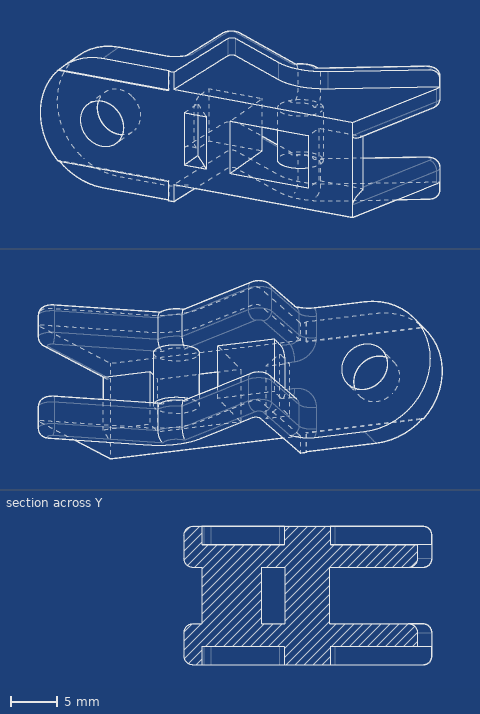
import cadquery as cq
import math

LENGTH = 41.45
WIDTH = 15.0
HALF_WIDTH = WIDTH / 2
HEIGHT = 15.0

BASE_THICKNESS = 4.02
END_THICKNESS = 2.5
BASE_END_X = 37.95
HOLE_DIAMETER = 5.23

CHANNEL_WIDTH = 6.05
ARM_THICKNESS = (WIDTH - CHANNEL_WIDTH) / 2
ARM_FOOT_X = 14.22
ARM_FRONT_LEAN = math.tan(math.radians(3))
TIP_RADIUS = 1.5
EDGE_RADIUS = 1.0
FOOT_RADIUS = 1.5

TIP_X = LENGTH - TIP_RADIUS
TIP_Y = HEIGHT - TIP_RADIUS

SADDLE_ANGLE = math.radians(30)
SADDLE_RISE = math.tan(SADDLE_ANGLE)
SADDLE_X = 28.0
SADDLE_Y = TIP_Y + TIP_RADIUS / math.cos(SADDLE_ANGLE) - SADDLE_RISE * (TIP_X - SADDLE_X)

BAR_RADIUS = 2.5
BAR_Y = 7.05

RIM = 2.0
RECESS_DEPTH = 2.0
RECESS_CORNER_RADIUS = 0.5
RECESS_SADDLE_RADIUS = 6.0

WINDOW_START_X = 23.05
WINDOW_END_X = 32.55
POCKET_START_X = 17.5
POCKET_END_X = 20.2
POCKET_ANGLE = math.radians(50)

BLOCK_START_X = 16.6
BLOCK_TOP_Y = 7.65

FIELD_WIDTH = 2.25
FIELD_END_X = 15.55
FIELD_DEPTH = 0.2

PICK_MARGIN = 0.05

CHANNEL = (-CHANNEL_WIDTH / 2, CHANNEL_WIDTH / 2)
BETWEEN_RECESSES = (RECESS_DEPTH - HALF_WIDTH, HALF_WIDTH - RECESS_DEPTH)


def box(x_range, y_range, z_range):
    """Box from its lower and upper limits along each axis."""
    sizes = [high - low for low, high in (x_range, y_range, z_range)]
    corner = (x_range[0], y_range[0], z_range[0])
    return cq.Workplane("XY").box(*sizes, centered=False).translate(corner)


def prism(outline, z_range):
    """Closed polygon in the XY plane, extruded between two Z limits."""
    bottom, top = z_range
    return cq.Workplane("XY").workplane(offset=bottom).polyline(outline).close().extrude(top - bottom)


def bar(z_range):
    """Round bar along Z at the bottom of the V."""
    bottom, top = z_range
    base = cq.Workplane("XY").workplane(offset=bottom)
    return base.center(SADDLE_X, BAR_Y).circle(BAR_RADIUS).extrude(top - bottom)


def end_cylinder(diameter):
    """Cylinder through the base plate, centred on its round end."""
    return cq.Workplane("XZ").center(HALF_WIDTH, 0).circle(diameter / 2).extrude(-BASE_THICKNESS)


def mirrored_pair(shape):
    """The shape together with its mirror image across the middle plane."""
    return shape.union(shape.mirror("XY"))


def fillet_corner(shape, corner, radius):
    """Round the one Z-parallel edge that stands at the given XY corner."""
    x, y = corner
    around = cq.selectors.BoxSelector(
        (x - PICK_MARGIN, y - PICK_MARGIN, -WIDTH), (x + PICK_MARGIN, y + PICK_MARGIN, WIDTH)
    )
    return shape.edges("|Z").edges(around).fillet(radius)


def saddle_corners(offset):
    """Foot of the leaning front line, left corner and bottom of the V, all moved inward by offset."""
    foot_x = ARM_FOOT_X + offset * math.hypot(1, ARM_FRONT_LEAN)
    bottom_y = SADDLE_Y - offset / math.cos(SADDLE_ANGLE)
    left_y = (bottom_y + SADDLE_RISE * (SADDLE_X - foot_x)) / (1 + SADDLE_RISE * ARM_FRONT_LEAN)
    left = (foot_x + ARM_FRONT_LEAN * left_y, left_y)
    return (foot_x, 0), left, (SADDLE_X, bottom_y)


def right_corner():
    """Sharp corner where the V meets the slanted end, which is tangent to the right tip."""
    dx = TIP_X - BASE_END_X
    end_angle = math.atan2(TIP_Y, dx) - math.asin(TIP_RADIUS / math.hypot(dx, TIP_Y))
    end_rise = math.tan(end_angle)
    x = (SADDLE_Y - SADDLE_RISE * SADDLE_X + end_rise * BASE_END_X) / (end_rise - SADDLE_RISE)
    return x, end_rise * (x - BASE_END_X)


def make_base():
    """Plate with a round end, up to the window."""
    plate = box((HALF_WIDTH, WINDOW_START_X), (0, BASE_THICKNESS), (-HALF_WIDTH, HALF_WIDTH))
    return end_cylinder(WIDTH).union(plate)


def make_arm():
    """Arm on the +Z side, with rounded tips and all its edges above the mounting face rounded."""
    foot, left, middle = saddle_corners(0)
    right = right_corner()
    z_range = (CHANNEL_WIDTH / 2, CHANNEL_WIDTH / 2 + ARM_THICKNESS)
    arm = prism([foot, left, middle, right, (BASE_END_X, 0)], z_range)
    arm = fillet_corner(arm, left, TIP_RADIUS)
    arm = fillet_corner(arm, right, TIP_RADIUS)
    arm = arm.union(bar(z_range))
    return arm.faces("<Z or >Z").edges("not <Y").fillet(EDGE_RADIUS)


def fillet_feet(body):
    """Round the inner corner between the arms and the top of the base plate."""
    around_feet = cq.selectors.BoxSelector(
        (ARM_FOOT_X, BASE_THICKNESS - PICK_MARGIN, -WIDTH),
        (WINDOW_START_X - PICK_MARGIN, BASE_THICKNESS + PICK_MARGIN, WIDTH),
    )
    return body.edges(around_feet).fillet(FOOT_RADIUS)


def make_recess():
    """Cutter for the recess behind the rim of the +Z arm, open at the bottom and at the right end."""
    foot, left, middle = saddle_corners(RIM)
    far_x = LENGTH + RIM
    far_y = middle[1] + SADDLE_RISE * (far_x - SADDLE_X)
    z_range = (HALF_WIDTH - RECESS_DEPTH, HALF_WIDTH)
    recess = prism([foot, left, middle, (far_x, far_y), (far_x, 0)], z_range)
    recess = fillet_corner(recess, left, RECESS_CORNER_RADIUS)
    return fillet_corner(recess, middle, RECESS_SADDLE_RADIUS)


def make_pocket():
    """Cutter with a sloping floor that is deepest at its left wall."""
    depth = (POCKET_END_X - POCKET_START_X) * math.tan(POCKET_ANGLE)
    return prism([(POCKET_START_X, 0), (POCKET_END_X, 0), (POCKET_START_X, depth)], CHANNEL)


body = make_base().union(mirrored_pair(make_arm()))
body = fillet_feet(body)

body = body.union(box((BLOCK_START_X, WINDOW_START_X), (0, BLOCK_TOP_Y), CHANNEL))
body = body.union(box((WINDOW_END_X, BASE_END_X), (0, END_THICKNESS), BETWEEN_RECESSES))
body = body.union(bar(CHANNEL))

body = body.cut(mirrored_pair(make_recess()))
body = body.cut(make_pocket())
body = body.cut(end_cylinder(HOLE_DIAMETER))

field = box((0, FIELD_END_X), (0, FIELD_DEPTH), (HALF_WIDTH - FIELD_WIDTH, HALF_WIDTH))
result = body.cut(mirrored_pair(field)).solids()